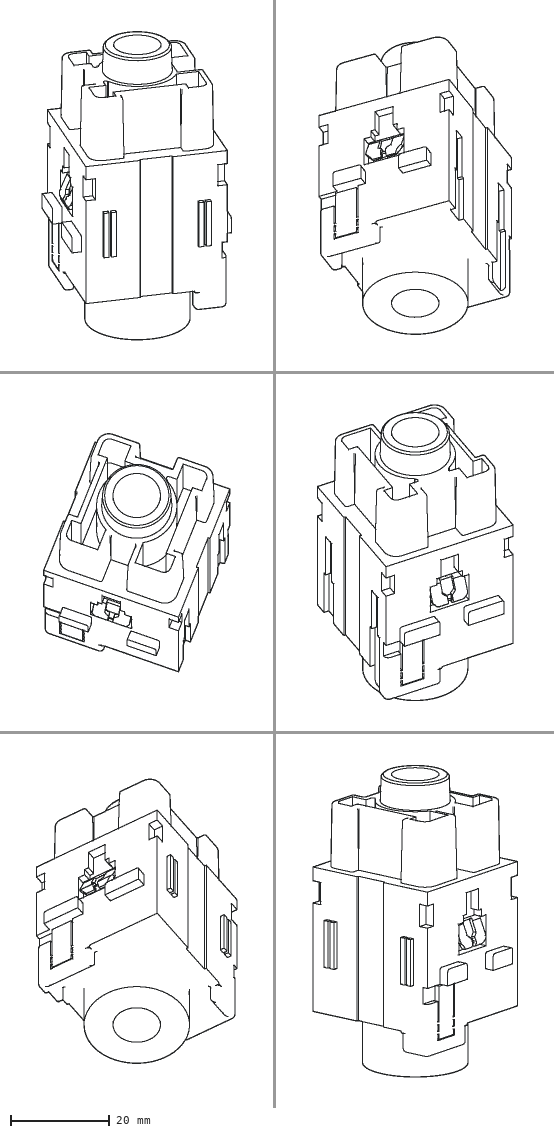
import cadquery as cq
import math

EDGE_MARGIN = 0.25

TOTAL_HEIGHT = 61.2
TOWER_TOP = 55.6
BODY_TOP = 42.1
BODY_BOTTOM = 11.45
SKIRT_BOTTOM = 6.9

HALF_X = 14.7
HALF_Y = 15.0
GROOVE_WIDTH = 6.85
GROOVE_DEPTH = 0.4
CORNER_NOTCH = 2.0
CORNER_NOTCH_BOTTOM = 34.45
CORNER_NOTCH_TOP = 39.15

BORE_RADIUS = 4.85
NECK_TOP_RADIUS = 7.0
NECK_BOTTOM_RADIUS = 7.15
NECK_CHAMFER = 0.4
SPIGOT_RADIUS = 10.8
ROOT_FILLET = 0.4

TOWER_HALF_X = 12.7
TOWER_HALF_Y = 13.3
TOWER_CORNER = 2.7
TOWER_INSET = 0.215
TOWER_EDGE_FILLET = 0.5
NOTCH_CORNER_FILLET = 0.5
TOWER_WALL = 1.2
POST_RADIUS = 8.2
SIDE_NOTCH_X = 10.7
SIDE_NOTCH_HALF_WIDTH = 6.25
BACK_NOTCH_Y = 8.0
BACK_NOTCH_HALF_WIDTH = 2.65
FRONT_NOTCH_Y = 10.3
FRONT_NOTCH_HALF_WIDTH = 3.85
FRONT_WEB_Y = 8.25
FRONT_WEB_HALF_WIDTH = 5.7
POCKET_END_X = 4.0
POCKET_END_RADIUS = 0.4

SKIRT_WALL = 2.0
SKIRT_END_X = 1.85
SKIRT_END_Y = 8.2
SKIRT_CORNER_FILLET = 1.1
SKIRT_EDGE_FILLET = 0.85

LATCH_TOP = 21.65
LATCH_STEP = 18.2
LATCH_BOTTOM = 9.85
LATCH_INNER_X = 5.9
LATCH_OUTER_X = 11.25
LATCH_DEPTH = 1.1
TONGUE_GAP = 0.35
TONGUE_END_GAP = 0.2
RUNG_HEIGHT = 0.6
RUNG_BOTTOMS = (11.15, 13.15)

LUG_CENTRE_X = 7.4
LUG_BOTTOM = LATCH_TOP
LUG_TOP = 25.15
LUG_LENGTH = 2.0
LUG_FILLET = 0.55
FRONT_LUG_WIDTH = 8.2
BACK_LUG_WIDTH = 6.35

POCKET_DEPTH = 1.95
POCKET_TOP = CORNER_NOTCH_TOP
POCKET_STEPS = (
    (2.0, 34.6),
    (2.95, 33.05),
    (4.45, 26.5),
)
CONTACT_HALF_WIDTH = 4.05
CONTACT_TOP = 33.0
CONTACT_KNEE = 28.8
CONTACT_BOTTOM = 27.25
CONTACT_THICKNESS = 0.5
CONTACT_BEND = 0.75
CONTACT_PROTRUSION = 0.55
CONTACT_TIP_HALF_WIDTH = 2.65
WINDOW_HALF_WIDTH = 1.45
WINDOW_TAPER_TOP = 29.9
WINDOW_TAPER_BOTTOM = 29.25
SLIT_HALF_WIDTH = 0.55
LIP_BOTTOM = 27.95
LIP_REACH = 1.2

JOINT_Y = 10.05
RIB_WIDTH = 2.65
RIB_LENGTH = 0.9
RIB_SLIT = 0.5
RIB_BOTTOM = LATCH_TOP
RIB_TOP = 31.6
CHANNEL_WIDTH = 4.05
CHANNEL_DEPTH = 1.1


def block(x_range, y_range, z_range):
    """Axis-aligned box between two limits on each axis."""
    (x0, x1), (y0, y1), (z0, z1) = x_range, y_range, z_range
    return cq.Workplane("XY").box(x1 - x0, y1 - y0, z1 - z0, centered=False).translate((x0, y0, z0))


def half_turn(shape):
    return shape.rotate((0, 0, 0), (0, 0, 1), 180)


def with_half_turn(shape):
    """The shape together with its copy turned half way round Z."""
    return shape.union(half_turn(shape))


def make_skirt():
    """L-shaped wall under the front left corner."""
    height = (SKIRT_BOTTOM, BODY_BOTTOM)
    outer = block((-HALF_X, -SKIRT_END_X), (-HALF_Y, -SKIRT_END_Y), height)
    inner = block((SKIRT_WALL - HALF_X, 0), (SKIRT_WALL - HALF_Y, 0), height)
    return outer.cut(inner)


def make_end_rounding(x, y, into_x, into_y):
    """Material outside the rounded upright edge at x, y, up to its root fillet.

    into_x and into_y are the signs of the directions from the edge into the skirt wall.
    """
    height = BODY_BOTTOM - ROOT_FILLET - SKIRT_BOTTOM
    r = SKIRT_EDGE_FILLET
    corner = cq.Workplane("XY").rect(into_x * r, into_y * r, centered=False).extrude(height)
    rounding = cq.Workplane("XY").center(into_x * r, into_y * r).circle(r).extrude(height)
    return corner.cut(rounding).translate((x, y, SKIRT_BOTTOM))


def make_latch_recess():
    """Recess around the latch tongue, open to the left above the step."""
    depth = (-HALF_Y, LATCH_DEPTH - HALF_Y)
    upper = block((-HALF_X, -LATCH_INNER_X), depth, (LATCH_STEP, LATCH_TOP))
    lower = block((-LATCH_OUTER_X, -LATCH_INNER_X), depth, (LATCH_BOTTOM, LATCH_TOP))
    return upper.union(lower)


def make_tongue():
    """Latch tongue standing in its recess, tied to the recess sides by two rungs."""
    depth = (-HALF_Y, LATCH_DEPTH - HALF_Y)
    tongue = block(
        (TONGUE_GAP - LATCH_OUTER_X, -LATCH_INNER_X - TONGUE_GAP),
        depth,
        (LATCH_BOTTOM + TONGUE_END_GAP, LATCH_TOP - TONGUE_GAP),
    )
    for bottom in RUNG_BOTTOMS:
        rung = block((-LATCH_OUTER_X, -LATCH_INNER_X), depth, (bottom, bottom + RUNG_HEIGHT))
        tongue = tongue.union(rung)
    return tongue


def near(x, y, z_low, z_high):
    """Selector for the upright edge at x, y that lies within a height range."""
    return cq.selectors.BoxSelector(
        (x - EDGE_MARGIN, y - EDGE_MARGIN, z_low), (x + EDGE_MARGIN, y + EDGE_MARGIN, z_high)
    )


def make_body():
    """Body with skirts, latches, corner notches and shallow side grooves."""
    body = block((-HALF_X, HALF_X), (-HALF_Y, HALF_Y), (BODY_BOTTOM, BODY_TOP))
    body = body.union(with_half_turn(make_skirt()))
    body = body.cut(with_half_turn(make_latch_recess()))
    skirt_roots = cq.selectors.BoxSelector(
        (EDGE_MARGIN - HALF_X, EDGE_MARGIN - HALF_Y, BODY_BOTTOM - EDGE_MARGIN),
        (HALF_X - EDGE_MARGIN, HALF_Y - EDGE_MARGIN, BODY_BOTTOM + EDGE_MARGIN),
    )
    body = body.edges(skirt_roots).fillet(ROOT_FILLET)
    for side in (-1, 1):
        corner = near(side * HALF_X, side * HALF_Y, SKIRT_BOTTOM, LATCH_STEP)
        body = body.edges("|Z").edges(corner).fillet(SKIRT_CORNER_FILLET)
    body = body.cut(with_half_turn(make_end_rounding(-SKIRT_END_X, -HALF_Y, -1, 1)))
    body = body.cut(with_half_turn(make_end_rounding(-HALF_X, -SKIRT_END_Y, 1, -1)))
    body = body.faces("<Z").edges().fillet(SKIRT_EDGE_FILLET)
    body = body.union(with_half_turn(make_tongue()))
    for side_x in (-1, 1):
        for side_y in (-1, 1):
            notch = cq.Workplane("XY").box(
                2 * CORNER_NOTCH, 2 * CORNER_NOTCH, CORNER_NOTCH_TOP - CORNER_NOTCH_BOTTOM,
                centered=(True, True, False),
            )
            body = body.cut(notch.translate((side_x * HALF_X, side_y * HALF_Y, CORNER_NOTCH_BOTTOM)))
    groove = block(
        (-HALF_X, GROOVE_DEPTH - HALF_X),
        (-GROOVE_WIDTH / 2, GROOVE_WIDTH / 2),
        (BODY_BOTTOM, BODY_TOP),
    )
    return body.cut(with_half_turn(groove))


def add_lugs(body):
    """Two lugs on the front face and two narrower ones on the back face."""
    reach = HALF_Y + LUG_LENGTH
    for width, y_range in (
        (FRONT_LUG_WIDTH, (-reach, -HALF_Y)),
        (BACK_LUG_WIDTH, (HALF_Y, reach)),
    ):
        lug = block((-width / 2, width / 2), y_range, (LUG_BOTTOM, LUG_TOP))
        lug = lug.edges("|Y and >Z").fillet(LUG_FILLET)
        for x in (-LUG_CENTRE_X, LUG_CENTRE_X):
            body = body.union(lug.translate((x, 0, 0)))
    return body


def make_contact():
    """Bent spring strip for the front face, hooked at the bottom, with a keyhole window and an inner lip."""
    back = POCKET_DEPTH - HALF_Y
    knee_y = -HALF_Y - CONTACT_PROTRUSION / 2
    tail_y = -HALF_Y + CONTACT_THICKNESS
    tip_y = -HALF_Y - CONTACT_PROTRUSION
    hook_middle = (CONTACT_KNEE + CONTACT_BOTTOM) / 2
    bend_bottom = CONTACT_TOP - CONTACT_BEND
    bend_offset = CONTACT_BEND * math.sqrt(0.5)
    strip = (
        cq.Workplane("YZ")
        .moveTo(back, CONTACT_TOP)
        .threePointArc((back - bend_offset, bend_bottom + bend_offset), (back - CONTACT_BEND, bend_bottom))
        .lineTo(knee_y, CONTACT_KNEE)
        .threePointArc((tip_y, hook_middle), (-HALF_Y, CONTACT_BOTTOM))
        .lineTo(tail_y, CONTACT_BOTTOM)
        .lineTo(tail_y, CONTACT_KNEE)
        .lineTo(back, bend_bottom)
        .close()
        .extrude(CONTACT_HALF_WIDTH, both=True)
    )
    face = (
        cq.Workplane("XZ")
        .polyline([
            (-CONTACT_HALF_WIDTH, CONTACT_TOP),
            (CONTACT_HALF_WIDTH, CONTACT_TOP),
            (CONTACT_HALF_WIDTH, CONTACT_KNEE),
            (CONTACT_TIP_HALF_WIDTH, CONTACT_BOTTOM),
            (-CONTACT_TIP_HALF_WIDTH, CONTACT_BOTTOM),
            (-CONTACT_HALF_WIDTH, CONTACT_KNEE),
        ])
        .close()
        .extrude(2 * HALF_Y)
    )
    window_top = CONTACT_TOP - CONTACT_THICKNESS / 2
    window = (
        cq.Workplane("XZ")
        .polyline([
            (-WINDOW_HALF_WIDTH, window_top),
            (WINDOW_HALF_WIDTH, window_top),
            (WINDOW_HALF_WIDTH, WINDOW_TAPER_TOP),
            (SLIT_HALF_WIDTH, WINDOW_TAPER_BOTTOM),
            (SLIT_HALF_WIDTH, CONTACT_BOTTOM),
            (-SLIT_HALF_WIDTH, CONTACT_BOTTOM),
            (-SLIT_HALF_WIDTH, WINDOW_TAPER_BOTTOM),
            (-WINDOW_HALF_WIDTH, WINDOW_TAPER_TOP),
        ])
        .close()
        .extrude(2 * HALF_Y)
    )
    lip = block(
        (-CONTACT_TIP_HALF_WIDTH, CONTACT_TIP_HALF_WIDTH),
        (-HALF_Y, -HALF_Y + LIP_REACH),
        (LIP_BOTTOM, LIP_BOTTOM + CONTACT_THICKNESS),
    )
    return strip.intersect(face).cut(window).union(lip)


def add_contacts(body):
    """Stepped pocket with a spring contact on the front and back faces."""
    depth = (-HALF_Y, POCKET_DEPTH - HALF_Y)
    top = POCKET_TOP
    for half_width, bottom in POCKET_STEPS:
        step = block((-half_width, half_width), depth, (bottom, top))
        body = body.cut(with_half_turn(step))
        top = bottom
    return body.union(with_half_turn(make_contact()))


def add_joints(body):
    """Slit ribs on the right face and stepped channels on the left face."""
    for y in (-JOINT_Y, JOINT_Y):
        rib = block(
            (HALF_X, HALF_X + RIB_LENGTH),
            (y - RIB_WIDTH / 2, y + RIB_WIDTH / 2),
            (RIB_BOTTOM, RIB_TOP),
        )
        slit = block(
            (HALF_X, HALF_X + RIB_LENGTH),
            (y - RIB_SLIT / 2, y + RIB_SLIT / 2),
            (RIB_BOTTOM, RIB_TOP),
        )
        body = body.union(rib.cut(slit))
        for width, z_range in (
            (RIB_WIDTH, (RIB_BOTTOM, RIB_TOP)),
            (CHANNEL_WIDTH, (SKIRT_BOTTOM, RIB_BOTTOM)),
        ):
            channel = block(
                (-HALF_X, CHANNEL_DEPTH - HALF_X), (y - width / 2, y + width / 2), z_range
            )
            body = body.cut(channel)
    return body


def make_tower():
    """Drafted tower with a notch in each side and a pocket around its central post."""
    height = TOWER_TOP - BODY_TOP
    draft = math.degrees(math.atan(TOWER_INSET / height))
    outline = cq.Sketch().rect(2 * TOWER_HALF_X, 2 * TOWER_HALF_Y).vertices().fillet(TOWER_CORNER)
    tower = cq.Workplane("XY").placeSketch(outline).extrude(height, taper=draft)

    def side_cut(x_range, y_range, taper):
        (x0, x1), (y0, y1) = x_range, y_range
        centre = ((x0 + x1) / 2, (y0 + y1) / 2)
        return cq.Workplane("XY").center(*centre).rect(x1 - x0, y1 - y0).extrude(height, taper=taper)

    far_x = 2 * TOWER_HALF_X
    far_y = 2 * TOWER_HALF_Y
    notches = (
        ((-far_x, -SIDE_NOTCH_X), (-SIDE_NOTCH_HALF_WIDTH, SIDE_NOTCH_HALF_WIDTH)),
        ((SIDE_NOTCH_X, far_x), (-SIDE_NOTCH_HALF_WIDTH, SIDE_NOTCH_HALF_WIDTH)),
        ((-BACK_NOTCH_HALF_WIDTH, BACK_NOTCH_HALF_WIDTH), (BACK_NOTCH_Y, far_y)),
        ((-FRONT_NOTCH_HALF_WIDTH, FRONT_NOTCH_HALF_WIDTH), (-far_y, -FRONT_NOTCH_Y)),
    )
    for x_range, y_range in notches:
        tower = tower.cut(side_cut(x_range, y_range, -draft))
    notch_corners = [
        (side_x * x, y)
        for side_x in (-1, 1)
        for x, y in (
            (TOWER_HALF_X, SIDE_NOTCH_HALF_WIDTH),
            (TOWER_HALF_X, -SIDE_NOTCH_HALF_WIDTH),
            (BACK_NOTCH_HALF_WIDTH, TOWER_HALF_Y),
            (FRONT_NOTCH_HALF_WIDTH, -TOWER_HALF_Y),
        )
    ]
    for x, y in notch_corners:
        tower = tower.edges(near(x, y, 0, height)).fillet(NOTCH_CORNER_FILLET)
    tower = tower.faces(">Z").edges().fillet(TOWER_EDGE_FILLET)

    shift = TOWER_INSET + TOWER_WALL
    pocket = (
        cq.Workplane("XY")
        .rect(2 * (TOWER_HALF_X - shift), 2 * (TOWER_HALF_Y - shift))
        .extrude(height)
        .edges("|Z")
        .fillet(TOWER_CORNER - TOWER_WALL)
    )
    notch_half = SIDE_NOTCH_HALF_WIDTH + shift
    back_half = BACK_NOTCH_HALF_WIDTH + shift
    for x_range, y_range in (
        ((-far_x, shift - SIDE_NOTCH_X), (-notch_half, notch_half)),
        ((SIDE_NOTCH_X - shift, far_x), (-notch_half, notch_half)),
        ((-back_half, back_half), (0, far_y)),
        ((-FRONT_WEB_HALF_WIDTH, FRONT_WEB_HALF_WIDTH), (-far_y, -FRONT_WEB_Y)),
        ((-POCKET_END_X, POCKET_END_X), (-FRONT_WEB_Y, 0)),
    ):
        pocket = pocket.cut(side_cut(x_range, y_range, 0))
    pocket = pocket.cut(cq.Workplane("XY").circle(POST_RADIUS).extrude(height))
    end_y = POCKET_END_RADIUS - FRONT_WEB_Y
    ends = [(-POCKET_END_X, end_y), (POCKET_END_X, end_y)]
    pocket = pocket.union(cq.Workplane("XY").pushPoints(ends).circle(POCKET_END_RADIUS).extrude(height))
    return tower.cut(pocket).translate((0, 0, BODY_TOP))


def make_neck():
    """Slightly tapered neck with a chamfered rim above the tower."""
    return (
        cq.Workplane("XZ")
        .polyline([
            (0, TOWER_TOP),
            (NECK_BOTTOM_RADIUS, TOWER_TOP),
            (NECK_TOP_RADIUS, TOTAL_HEIGHT - NECK_CHAMFER),
            (NECK_TOP_RADIUS - NECK_CHAMFER, TOTAL_HEIGHT),
            (0, TOTAL_HEIGHT),
        ])
        .close()
        .revolve(360, (0, 0, 0), (0, 1, 0))
    )


def make_spigot():
    """Round spigot below the body, flared into it by a concave fillet."""
    r = ROOT_FILLET
    fillet_middle = r * (1 - math.sqrt(0.5))
    return (
        cq.Workplane("XZ")
        .moveTo(0, 0)
        .lineTo(SPIGOT_RADIUS, 0)
        .lineTo(SPIGOT_RADIUS, BODY_BOTTOM - r)
        .threePointArc(
            (SPIGOT_RADIUS + fillet_middle, BODY_BOTTOM - fillet_middle),
            (SPIGOT_RADIUS + r, BODY_BOTTOM),
        )
        .lineTo(0, BODY_BOTTOM)
        .close()
        .revolve(360, (0, 0, 0), (0, 1, 0))
    )


shell = add_joints(add_contacts(add_lugs(make_body())))
solid = shell.union(make_tower()).union(make_neck()).union(make_spigot())
bore = cq.Workplane("XY").circle(BORE_RADIUS).extrude(TOTAL_HEIGHT)
result = solid.cut(bore)